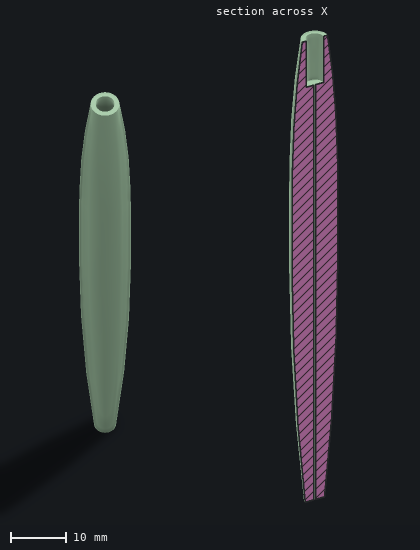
import cadquery as cq

length = 100.0
bottom_radius = 2.0
belly_diameter = 9.5
belly_radius = belly_diameter / 2
belly_height = 61.0
top_radius = 2.6

lower_flank_height = 35.0
lower_flank_radius = 4.4
upper_flank_height = 82.5
upper_flank_radius = 4.3

socket_diameter = 3.4
socket_depth = 10.0

pilot_diameter = 0.3


def spindle_body():
    """Revolve the smooth flank, widest at the belly, about the Z axis."""
    flank = [
        (lower_flank_radius, lower_flank_height),
        (belly_radius, belly_height),
        (upper_flank_radius, upper_flank_height),
        (top_radius, length),
    ]
    profile = (
        cq.Workplane("XZ")
        .lineTo(bottom_radius, 0)
        .spline(flank, includeCurrent=True)
        .lineTo(0, length)
        .close()
    )
    return profile.revolve(360, (0, 0, 0), (0, 1, 0))


def cut_socket(body):
    """Bore the flat-bottomed socket down from the top end."""
    return body.faces(">Z").workplane(origin=(0, 0, length)).hole(socket_diameter, socket_depth)


def drill_pilot(body):
    """Drill the fine pilot hole through the whole length."""
    return body.cut(cq.Workplane("XY").circle(pilot_diameter / 2).extrude(length))


result = drill_pilot(cut_socket(spindle_body()))